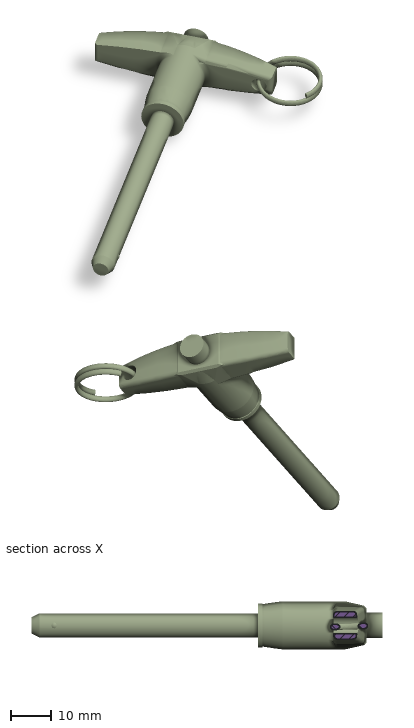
import cadquery as cq
import math


sleeve_radius = 6.0
sleeve_bottom_radius = 5.3
taper_length = 5.0
taper_bulge = 0.05
collar_radius = 5.5
collar_thickness = 1.1
handle_top_y = 27.0
dome_start_y = 21.7
dome_end_y = 26.4
dome_end_radius = 4.95
dome_round = handle_top_y - dome_end_y

bar_half_length = 23.0
bar_bottom_y = 18.8
bar_tip_top_y = 23.85
bar_tip_half_height = 3.0
bar_edge_radius = 1.0
hub_half_width = 5.85
hub_flat_half_width = 5.5
hub_edge_half_height = 4.72
hub_edge_top_y = 26.85
hub_merge_x = 2.2
hub_buried_x = 1.6
side_bulge = 0.29
top_bulge = 0.35
cove_radius = 1.0
cove_overlap = 0.5
select_margin = 0.1

ring_hole_radius = 2.0
ring_hole_x = 19.75

button_radius = 3.2
button_height = 4.1

shank_radius = 3.0
shank_length = 56.68
tip_radius = 2.0
tip_length = 2.0
ball_radius = 1.0
ball_projection = 0.22
ball_y = -51.0

ring_outer_radius = 8.28
ring_center_x = 26.58
ring_center_y = 22.7
wire_width = 1.06
wire_height = 1.56
ring_pitch = 1.6
ring_turns = 1.5
ring_start_angle = -42.0
ring_start_z = 0.73


def bulged_middle(start, end, bulge):
    """Point beside the middle of a chord, which gives an arc of that rise."""
    dx = end[0] - start[0]
    dy = end[1] - start[1]
    chord = math.hypot(dx, dy)
    middle_x = (start[0] + end[0]) / 2 - bulge * dy / chord
    middle_y = (start[1] + end[1]) / 2 + bulge * dx / chord
    return middle_x, middle_y


def revolved_about_y(profile):
    return profile.close().revolve(360, (0, 0, 0), (1, 0, 0))


def hub_half_height(x):
    """Half height of the bar's straight hub flank, which meets the sleeve at hub_merge_x."""
    merge_z = math.sqrt(sleeve_radius**2 - hub_merge_x**2)
    slope = (merge_z - hub_edge_half_height) / (hub_half_width - hub_merge_x)
    return merge_z - slope * (x - hub_merge_x)


def make_sleeve():
    taper_start = (collar_thickness, sleeve_bottom_radius)
    taper_end = (collar_thickness + taper_length, sleeve_radius)
    profile = (
        cq.Workplane("YZ")
        .moveTo(collar_thickness, 0)
        .lineTo(*taper_start)
        .threePointArc(bulged_middle(taper_start, taper_end, taper_bulge), taper_end)
        .lineTo(dome_start_y, sleeve_radius)
        .lineTo(dome_end_y, dome_end_radius)
        .lineTo(handle_top_y, dome_end_radius - dome_round)
        .lineTo(handle_top_y, 0)
    )
    return revolved_about_y(profile)


def arm_side_prism():
    """The +X arm's outline along the pin axis, its height narrowing towards the tip."""
    buried_z = hub_half_height(hub_buried_x)
    hub_edge = (hub_half_width, hub_edge_half_height)
    tip = (bar_half_length, bar_tip_half_height)
    arc_x, arc_z = bulged_middle(hub_edge, tip, side_bulge)
    return (
        cq.Workplane("XZ")
        .moveTo(0, buried_z)
        .lineTo(hub_buried_x, buried_z)
        .lineTo(*hub_edge)
        .threePointArc((arc_x, arc_z), tip)
        .lineTo(bar_half_length, -bar_tip_half_height)
        .threePointArc((arc_x, -arc_z), (hub_half_width, -hub_edge_half_height))
        .lineTo(hub_buried_x, -buried_z)
        .lineTo(0, -buried_z)
        .close()
        .extrude(-handle_top_y)
    )


def arm_top_prism():
    """The +X arm's outline in the plane of the T."""
    hub_edge = (hub_half_width, hub_edge_top_y)
    tip = (bar_half_length, bar_tip_top_y)
    return (
        cq.Workplane("XY")
        .moveTo(0, bar_bottom_y)
        .lineTo(bar_half_length, bar_bottom_y)
        .lineTo(*tip)
        .threePointArc(bulged_middle(tip, hub_edge, -top_bulge), hub_edge)
        .lineTo(hub_flat_half_width, handle_top_y)
        .lineTo(0, handle_top_y)
        .close()
        .extrude(sleeve_radius, both=True)
    )


def rounded_tip_prism():
    """Block whose rounded corner shapes the arm's lower tip edge."""
    round_center_x = bar_half_length - bar_edge_radius
    round_center_y = bar_bottom_y + bar_edge_radius
    bend = bar_edge_radius * math.sqrt(0.5)
    return (
        cq.Workplane("XY")
        .moveTo(0, bar_bottom_y)
        .lineTo(round_center_x, bar_bottom_y)
        .threePointArc((round_center_x + bend, round_center_y - bend), (bar_half_length, round_center_y))
        .lineTo(bar_half_length, handle_top_y)
        .lineTo(0, handle_top_y)
        .close()
        .extrude(sleeve_radius, both=True)
    )


def bar_bevel_prism():
    """Section across the bar whose flanks lean inward towards the handle top."""
    flank_slope = (hub_half_height(hub_merge_x) - dome_end_radius) / (dome_end_y - dome_start_y)
    flank_base_z = dome_end_radius + flank_slope * (dome_end_y - bar_bottom_y)
    top_z = dome_end_radius - dome_round
    return (
        cq.Workplane("YZ")
        .moveTo(bar_bottom_y, -flank_base_z)
        .lineTo(dome_end_y, -dome_end_radius)
        .lineTo(handle_top_y, -top_z)
        .lineTo(handle_top_y, top_z)
        .lineTo(dome_end_y, dome_end_radius)
        .lineTo(bar_bottom_y, flank_base_z)
        .close()
        .extrude(bar_half_length, both=True)
    )


def edges_in_box(body, x_range, y_range, z_range):
    corner, opposite = zip(x_range, y_range, z_range)
    return body.edges(cq.selectors.BoxSelector(corner, opposite))


def make_arm(lower_edges_z):
    """The +X half of the bar, with its lower edges rounded where Z lies in the given range."""
    arm = arm_side_prism().intersect(arm_top_prism())
    any_z = (-sleeve_radius, sleeve_radius)
    length = (select_margin, bar_half_length - select_margin)
    at_bottom = (bar_bottom_y - select_margin, bar_bottom_y + select_margin)
    along_top = (bar_tip_top_y + select_margin, hub_edge_top_y - select_margin)

    arm = edges_in_box(arm, length, at_bottom, lower_edges_z).fillet(bar_edge_radius)
    arm_span = (hub_half_width + select_margin, bar_half_length - select_margin)
    arm = edges_in_box(arm, arm_span, along_top, any_z).fillet(bar_edge_radius)
    return arm.intersect(rounded_tip_prism())


def make_cove(inset_below, inset_above):
    """Concave ring under the +X arm where it meets the sleeve, held inside the hub flanks."""
    outer_radius = sleeve_radius + cove_radius
    low_y = bar_bottom_y - cove_radius
    bend = cove_radius * math.sqrt(0.5)
    ring = revolved_about_y(
        cq.Workplane("YZ")
        .moveTo(low_y, 0)
        .lineTo(low_y, sleeve_radius)
        .threePointArc((low_y + bend, outer_radius - bend), (bar_bottom_y, outer_radius))
        .lineTo(bar_bottom_y + cove_overlap, outer_radius)
        .lineTo(bar_bottom_y + cove_overlap, 0)
    )
    inner_z = hub_half_height(hub_buried_x)
    outer_z = hub_half_height(outer_radius)
    section = (
        cq.Workplane("XZ")
        .moveTo(hub_buried_x, inner_z - inset_above)
        .lineTo(outer_radius, outer_z - inset_above)
        .lineTo(outer_radius, inset_below - outer_z)
        .lineTo(hub_buried_x, inset_below - inner_z)
        .close()
        .extrude(-handle_top_y)
    )
    return ring.intersect(section)


def make_handle():
    """Sleeve and cross bar; the -X arm keeps a sharp lower edge on its +Z side."""
    right_arm = make_arm((-sleeve_radius, sleeve_radius))
    left_arm = make_arm((-sleeve_radius, -select_margin)).mirror("YZ")
    bar = right_arm.union(left_arm).intersect(bar_bevel_prism())
    right_cove = make_cove(bar_edge_radius, bar_edge_radius)
    left_cove = make_cove(bar_edge_radius, 0).mirror("YZ")
    handle = make_sleeve().union(bar).union(right_cove).union(left_cove)
    ring_hole = (
        cq.Workplane("XZ").center(ring_hole_x, 0).circle(ring_hole_radius).extrude(-handle_top_y)
    )
    return handle.cut(ring_hole)


def make_button():
    return cq.Workplane("XZ").workplane(offset=-handle_top_y).circle(button_radius).extrude(-button_height)


def make_shank():
    """Shank with its collar, tapered tip and two locking balls."""
    profile = (
        cq.Workplane("YZ")
        .moveTo(collar_thickness, 0)
        .lineTo(collar_thickness, collar_radius)
        .lineTo(0, collar_radius)
        .lineTo(0, shank_radius)
        .lineTo(tip_length - shank_length, shank_radius)
        .lineTo(-shank_length, tip_radius)
        .lineTo(-shank_length, 0)
    )
    shank = revolved_about_y(profile)
    ball_x = shank_radius + ball_projection - ball_radius
    ball = cq.Workplane("XY").sphere(ball_radius).rotate((0, 0, 0), (0, 1, 0), 90)
    for side in (-1, 1):
        shank = shank.union(ball.translate((side * ball_x, ball_y, 0)))
    return shank


def make_key_ring():
    coil_radius = ring_outer_radius - wire_width / 2
    path = cq.Wire.makeHelix(ring_pitch, ring_pitch * ring_turns, coil_radius, lefthand=True)
    wire = cq.Workplane("XZ").center(coil_radius, 0).ellipse(wire_width / 2, wire_height / 2)
    coil = wire.sweep(cq.Workplane(path), isFrenet=True)
    coil = coil.rotate((0, 0, 0), (1, 0, 0), 180)
    coil = coil.rotate((0, 0, 0), (0, 0, 1), ring_start_angle)
    return coil.translate((ring_center_x, ring_center_y, ring_start_z))


handle = make_handle()
button = make_button()
shank = make_shank()
key_ring = make_key_ring()

result = cq.Compound.makeCompound([handle.val(), button.val(), shank.val(), key_ring.val()])